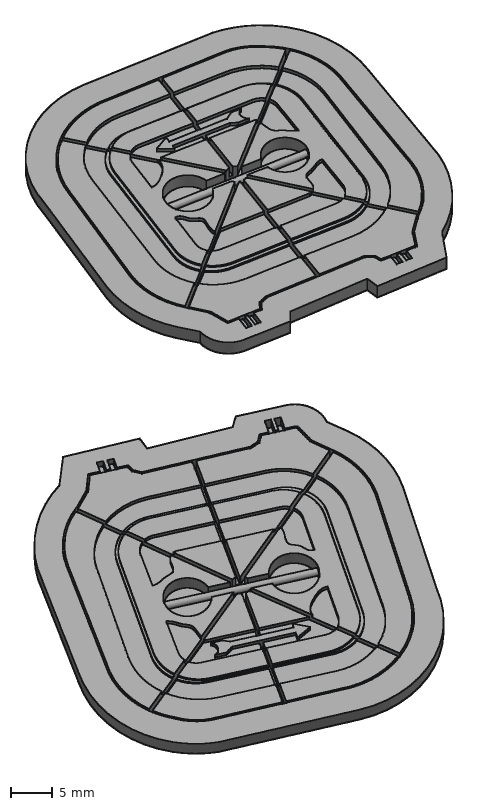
import cadquery as cq
lid_thickness = 3.0
frame_thickness = 2.0
frame_bottom = lid_thickness - frame_thickness
step_depth = 0.5
ledge_depth = step_depth / 2
groove_depth = 1.5
pocket_depth = 2.0

lid_gap = 0.25

outer_step = [(-17.08, -15.75, 8.15), (14.7, -15.75, 8.15), (14.7, 16.1, 8.9), (-17.08, 16.1, 8.9)]
ledge_outline = [(-14.15, -13.2, 5.2), (11.95, -13.2, 5.2), (11.95, 13.45, 5.6), (-14.15, 13.25, 5.6)]
plateau_outline = [(-13.95, -12.72, 5.2), (11.5, -12.72, 5.2), (11.5, 13.1, 5.2), (-13.95, 12.9, 5.68)]
inner_step = [(-11.4, -10.07, 2.25), (8.9, -10.07, 2.25), (8.9, 10.45, 2.35), (-11.4, 10.05, 2.25)]

hub_center = (-1.32, 0.0)
hub_radius = 1.32
grip_slot_width = 1.55
grip_center_x = hub_center[0]
grip_wells = [(6.7, 2.95), (-6.7, 3.07)]
bar_diameter = 1.0
bar_x = -1.15
bar_half_length = 9.75
bar_axis_z = lid_thickness - 1.0

groove_width = 0.45
groove_length = 28.4
groove_angles = [0.9, 44.3, 134.5, 180.8]
offset_groove_angle = 315.0
offset_groove_shift = 0.43
blocked_groove_angle = 225.3
blocked_groove_wall = 0.1

hinge_arm_height = 0.8
hinge_arm_z = frame_bottom + frame_thickness / 2
hinge_arm_width = 0.55
hinge_notch_width = 0.8
hinge_arm_root_x = 19.15
tip_flat = 0.0005
upper_hinge = {"arm_tip": 21.35, "notch_end": 21.45, "centers": (11.3, 10.0)}
lower_hinge = {"arm_tip": 21.47, "notch_end": 22.05, "centers": (-10.0, -11.2)}
hinges = [upper_hinge, lower_hinge]


def frame_outline():
    return (
        cq.Workplane("XY", origin=(0, 0, frame_bottom))
        .moveTo(-23.65, 9.15)
        .threePointArc((-23.15, 11.9), (-22.15, 14.45))
        .threePointArc((-17.05, 20.1), (-8.95, 22.5))
        .lineTo(7.65, 23.0)
        .threePointArc((13.6, 21.55), (19.3, 17.05))
        .lineTo(23.35, 15.4)
        .lineTo(23.55, 5.7)
        .lineTo(21.85, 5.25)
        .lineTo(22.2, -5.6)
        .lineTo(23.65, -6.4)
        .lineTo(23.65, -12.8)
        .threePointArc((22.35, -15.65), (19.85, -16.8))
        .lineTo(17.85, -18.83)
        .threePointArc((12.9, -22.0), (7.65, -23.0))
        .lineTo(-8.32, -22.7)
        .threePointArc((-18.65, -19.25), (-23.5, -8.8))
        .close()
    )


def lid_outline(base_z):
    return (
        cq.Workplane("XY", origin=(0, 0, base_z))
        .moveTo(-19.95, 8.95)
        .threePointArc((-19.6, 11.05), (-18.65, 13.0))
        .threePointArc((-15.0, 17.05), (-9.75, 18.83))
        .lineTo(7.2, 19.3)
        .threePointArc((11.7, 18.4), (15.4, 15.65))
        .lineTo(17.5, 13.9)
        .lineTo(19.75, 13.05)
        .lineTo(19.75, 8.32)
        .lineTo(18.95, 8.0)
        .lineTo(18.3, 6.9)
        .lineTo(18.5, -6.9)
        .lineTo(19.0, -8.1)
        .lineTo(20.0, -8.55)
        .lineTo(20.0, -13.0)
        .lineTo(17.5, -14.05)
        .lineTo(15.4, -16.1)
        .threePointArc((11.9, -18.5), (7.65, -19.45))
        .lineTo(-8.45, -19.1)
        .threePointArc((-16.55, -15.75), (-19.75, -8.65))
        .close()
    )


def at_top(depth):
    return cq.Workplane("XY", origin=(0, 0, lid_thickness - depth))


def rounded_square(corners, depth):
    """Block under the lid's top face, as deep as given."""
    block = at_top(depth).polyline([(x, y) for x, y, _ in corners]).close().extrude(depth)
    for x, y, radius in corners:
        corner_edge = cq.selectors.NearestToPointSelector((x, y, lid_thickness - depth / 2))
        block = block.edges(corner_edge).fillet(radius)
    return block


def central_island():
    """Raised area around the grip, waisted toward its upper and lower ends."""
    top = 10.45
    bottom = -10.07
    upper_left = [(-4.6, 9.18), (-5.05, 8.5), (-5.65, 7.45), (-6.6, 7.0), (-8.25, 6.55)]
    lower_left = [(-6.55, -7.35), (-5.65, -8.0), (-4.45, -9.45), (-4.35, bottom)]
    lower_right = [(1.6, -9.35), (2.55, -8.45), (3.2, -7.3), (4.5, -7.2), (5.8, -7.05)]
    upper_right = [(4.5, 7.2), (3.0, 7.3), (2.3, 8.45), (1.55, 9.9), (1.5, top)]
    return (
        at_top(step_depth)
        .moveTo(-4.1, top)
        .spline(upper_left, includeCurrent=True)
        .lineTo(-8.25, -7.2)
        .spline(lower_left, includeCurrent=True)
        .lineTo(1.5, bottom)
        .spline(lower_right, includeCurrent=True)
        .lineTo(5.8, 6.2)
        .spline(upper_right, includeCurrent=True)
        .close()
        .extrude(step_depth)
    )


def arrow():
    """Raised arrow that points toward -Y, with an arched tail, which bridges the groove below it."""
    return (
        at_top(groove_depth)
        .moveTo(-10.75, 5.9)
        .threePointArc((-9.8, 5.25), (-8.85, 5.9))
        .lineTo(-8.85, 4.45)
        .lineTo(-9.25, 3.55)
        .lineTo(-9.25, -4.45)
        .lineTo(-8.65, -4.45)
        .lineTo(-9.75, -6.4)
        .lineTo(-10.9, -4.45)
        .lineTo(-10.07, -4.45)
        .lineTo(-10.07, 3.55)
        .lineTo(-10.75, 4.45)
        .close()
        .extrude(groove_depth)
    )


def groove(angle, start=0.0, shift=0.0):
    """Straight groove that leaves the hub at the given angle and runs out through the lid's edge."""
    return (
        at_top(groove_depth)
        .center(*hub_center)
        .transformed(rotate=(0, 0, angle))
        .center((start + groove_length) / 2, shift)
        .rect(groove_length - start, groove_width)
        .extrude(groove_depth)
    )


def grip_pocket():
    upper_y = grip_wells[0][0]
    lower_y = grip_wells[1][0]
    pocket = (
        at_top(pocket_depth)
        .center(grip_center_x, (upper_y + lower_y) / 2)
        .rect(grip_slot_width, upper_y - lower_y)
        .extrude(pocket_depth)
    )
    pocket = pocket.union(at_top(pocket_depth).center(*hub_center).circle(hub_radius).extrude(pocket_depth))
    for center_y, radius in grip_wells:
        well = at_top(pocket_depth).center(grip_center_x, center_y).circle(radius).extrude(pocket_depth)
        pocket = pocket.union(well)
    return pocket


def grip_bar():
    return (
        cq.Workplane("XZ", origin=(bar_x, bar_half_length, bar_axis_z))
        .circle(bar_diameter / 2)
        .extrude(2 * bar_half_length)
    )


def hinge_arm(center_y, tip_x):
    """Flat arm with a half-round tip."""
    length = tip_x - hinge_arm_root_x
    return (
        cq.Workplane("XY", origin=(hinge_arm_root_x + length / 2, center_y, hinge_arm_z))
        .box(length, hinge_arm_width, hinge_arm_height)
        .edges("|Y and >X")
        .fillet(hinge_arm_height / 2 - tip_flat)
    )


def hinge_notch(center_y, end_x):
    length = end_x - hinge_arm_root_x
    return (
        cq.Workplane("XY", origin=(hinge_arm_root_x + length / 2, center_y, frame_bottom))
        .rect(length, hinge_notch_width)
        .extrude(frame_thickness)
    )


def make_frame():
    body = frame_outline().extrude(frame_thickness)
    body = body.cut(lid_outline(frame_bottom).offset2D(lid_gap).extrude(frame_thickness))
    for hinge in hinges:
        for center_y in hinge["centers"]:
            body = body.cut(hinge_notch(center_y, hinge["notch_end"]))
    return body


def make_lid():
    body = lid_outline(0).extrude(lid_thickness)
    outer_band = rounded_square(outer_step, step_depth).cut(rounded_square(ledge_outline, step_depth))
    ledge = rounded_square(ledge_outline, ledge_depth).cut(rounded_square(plateau_outline, ledge_depth))
    inner_band = rounded_square(inner_step, step_depth).cut(central_island())
    body = body.cut(outer_band).cut(ledge).cut(inner_band)
    for angle in groove_angles:
        body = body.cut(groove(angle))
    body = body.cut(groove(offset_groove_angle, shift=offset_groove_shift))
    body = body.cut(groove(blocked_groove_angle, start=hub_radius + blocked_groove_wall))
    body = body.union(arrow())
    body = body.cut(grip_pocket()).union(grip_bar())
    for hinge in hinges:
        for center_y in hinge["centers"]:
            body = body.union(hinge_arm(center_y, hinge["arm_tip"]))
    return body


frame = make_frame()
lid = make_lid()
result = cq.Compound.makeCompound([frame.val(), lid.val()])